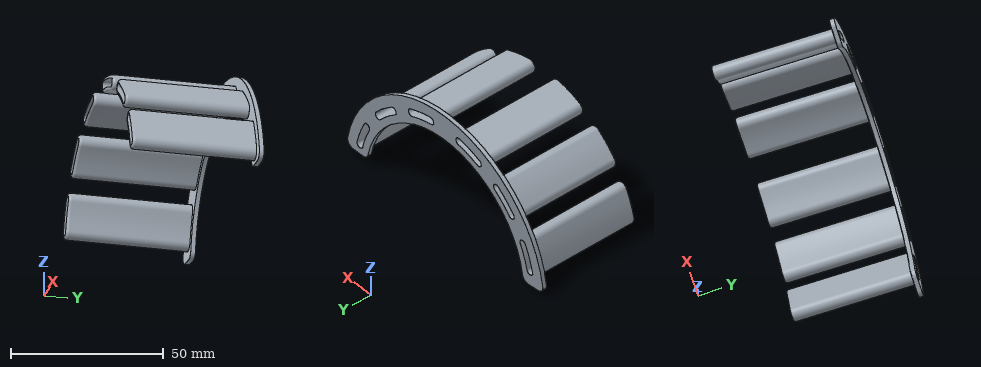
import cadquery as cq
import math

outer_radius = 49.4
band_width = 10.2
inner_radius = outer_radius - band_width
plate_thickness = 1.7
left_end_angle = 5.5
right_end_height = 5.9
corner_radius = 2.7

overall_depth = 43.3
tube_path_radius = 43.5
tube_width = 5.4
bore_width = 2.8
tube_half_span = 6.7
first_tube_angle = 20.1
tube_pitch_angle = 27.0
tubes_per_side = 3
rim_fillet = 1.0


def polar(radius, degrees):
    angle = math.radians(degrees)
    return radius * math.cos(angle), radius * math.sin(angle)


def at_height(radius, height):
    return math.sqrt(radius**2 - height**2), height


def extrude_back(outline, length):
    """Extrude an XZ outline from the front face plane Y = 0 towards +Y."""
    return outline.extrude(-length)


def arched_plate():
    outline = (
        cq.Workplane("XZ")
        .moveTo(*polar(outer_radius, 180 - left_end_angle))
        .threePointArc((0, outer_radius), at_height(outer_radius, right_end_height))
        .lineTo(*at_height(inner_radius, right_end_height))
        .threePointArc((0, inner_radius), polar(inner_radius, 180 - left_end_angle))
        .close()
    )
    plate = extrude_back(outline, plate_thickness).edges("|Y").fillet(corner_radius)
    return plate.translate((0, overall_depth - plate_thickness, 0))


def curved_slot(middle_angle, width, length):
    """Slot along the tube path with round ends, centred on middle_angle."""
    half_width = width / 2
    start = middle_angle - tube_half_span
    end = middle_angle + tube_half_span
    far = tube_path_radius + half_width
    near = tube_path_radius - half_width
    start_x, start_z = polar(tube_path_radius, start)
    end_x, end_z = polar(tube_path_radius, end)
    start_step_x, start_step_z = polar(half_width, start - 90)
    end_step_x, end_step_z = polar(half_width, end + 90)
    outline = (
        cq.Workplane("XZ")
        .moveTo(*polar(far, start))
        .threePointArc(polar(far, middle_angle), polar(far, end))
        .threePointArc((end_x + end_step_x, end_z + end_step_z), polar(near, end))
        .threePointArc(polar(near, middle_angle), polar(near, start))
        .threePointArc((start_x + start_step_x, start_z + start_step_z), polar(far, start))
        .close()
    )
    return extrude_back(outline, length)


def tube_body(middle_angle):
    body = curved_slot(middle_angle, tube_width, overall_depth)
    return body.faces("<Y").edges().fillet(rim_fillet)


right_angles = [first_tube_angle + i * tube_pitch_angle for i in range(tubes_per_side)]
tube_angles = right_angles + [180 - angle for angle in right_angles]

result = arched_plate()
for tube_angle in tube_angles:
    result = result.union(tube_body(tube_angle))
for tube_angle in tube_angles:
    result = result.cut(curved_slot(tube_angle, bore_width, overall_depth))